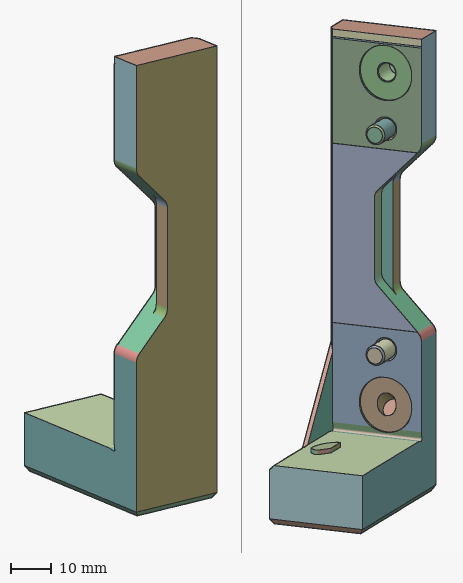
import cadquery as cq
import math

length = 45.0
width = 24.8
height = 116.6
wall_thickness = 9.0
base_height = 15.0
wall_face_x = length - wall_thickness

foot_chamfer_rise = 1.4
foot_chamfer_inset = 0.9
side_chamfer = 1.2
wall_chamfer_run = 1.7

window_middle_z = 65.0
window_half_height = 23.8
front_layer_depth = 12.6
back_layer_depth = 9.6
window_radius = 3.0

face_relief_depth = 0.1
face_relief_half_height = 22.7
top_relief_height = 1.9
top_relief_ramp = 0.3

undercut_depth = 0.41
undercut_reach = 1.9
undercut_radius = 0.52

gusset_foot_x = 19.8
gusset_top_z = 37.1

marker_height = 1.2

feature_y = 9.6
hole_offset = 42.1
pin_offset = 28.0
spotface_diameter = 14.0
spotface_depth = 0.7
upper_hole_diameter = 4.5
upper_hole_mouth_diameter = 5.0
upper_hole_depth = 7.0
lower_hole_diameter = 5.0
lower_hole_tilt = 30.0
lower_hole_depth = 4.3

pin_diameter = 5.0
pin_tip_chamfer = 0.5
pin_protrusion = 6.6
pin_seat_depth = 5.8
pin_seat_mouth_diameter = 6.0


def box(x_range, y_range, z_range):
    """Axis-aligned box between the given pairs of limits."""
    (x0, x1), (y0, y1), (z0, z1) = x_range, y_range, z_range
    return cq.Workplane("XY").box(x1 - x0, y1 - y0, z1 - z0, centered=False).translate((x0, y0, z0))


def prism_along_y(points, y_start, y_end):
    """Prism of an XZ outline between two Y positions."""
    return cq.Workplane("XZ", origin=(0, y_start, 0)).polyline(points).close().extrude(y_start - y_end)


def disc_along_x(diameter, x_start, depth, y, z):
    """Cylinder that starts at x_start and runs toward +X."""
    return cq.Workplane("YZ", origin=(x_start, y, z)).circle(diameter / 2).extrude(depth)


def mouth_cone(mouth_diameter, hole_diameter, x_start, y, z):
    """45 degree countersink that narrows toward +X."""
    depth = (mouth_diameter - hole_diameter) / 2
    cone = cq.Solid.makeCone(
        mouth_diameter / 2, hole_diameter / 2, depth,
        pnt=cq.Vector(x_start, y, z), dir=cq.Vector(1, 0, 0),
    )
    return cq.Workplane(cone)


def angle_block():
    """L-shaped body with a chamfered foot and chamfered +Y inner edges."""
    base = box((0, length), (0, width), (0, base_height))
    base = base.faces("<Z").chamfer(foot_chamfer_rise, foot_chamfer_inset)
    wall = box((wall_face_x, length), (0, width), (base_height / 2, height))
    base_edge = (
        cq.Workplane("YZ")
        .polyline([
            (width, base_height),
            (width - side_chamfer, base_height),
            (width, base_height - side_chamfer),
        ])
        .close()
        .extrude(wall_face_x)
    )
    wall_edge = (
        cq.Workplane("XY", origin=(0, 0, base_height))
        .polyline([
            (wall_face_x, width),
            (wall_face_x, width - side_chamfer),
            (wall_face_x + wall_chamfer_run, width),
        ])
        .close()
        .extrude(height - base_height)
    )
    return base.cut(base_edge).union(wall.cut(wall_edge))


def window_layer(depth, x_start, x_end):
    """Trapezoidal side cut with 45 degree ends and rounded inner corners."""
    half_inner = window_half_height - depth
    cutter = (
        cq.Workplane("YZ", origin=(x_start, 0, window_middle_z))
        .polyline([
            (0, -window_half_height),
            (depth, -half_inner),
            (depth, half_inner),
            (0, window_half_height),
        ])
        .close()
        .extrude(x_end - x_start)
    )
    return cutter.edges("|X and >Y").fillet(window_radius)


def cut_window(body):
    """Stepped side window, with its two outer corners rounded."""
    layer_x = wall_face_x + wall_thickness / 2
    corner_reach = 1.2
    body = body.cut(window_layer(front_layer_depth, wall_face_x, layer_x))
    body = body.cut(window_layer(back_layer_depth, layer_x, length))
    for side in (-1, 1):
        corner_z = window_middle_z + side * window_half_height
        corner_edges = cq.selectors.BoxSelector(
            (wall_face_x, -corner_reach, corner_z - corner_reach),
            (length, corner_reach, corner_z + corner_reach),
        )
        body = body.edges("|X").edges(corner_edges).fillet(window_radius)
    return body


def corner_undercut():
    """Sloped relief groove with a rounded bottom where wall and base meet."""
    groove = prism_along_y(
        [
            (wall_face_x - undercut_reach, base_height),
            (wall_face_x + undercut_depth, base_height - undercut_depth),
            (wall_face_x, base_height + undercut_reach),
        ],
        0, width,
    )
    return groove.edges("|Y and >X").fillet(undercut_radius)


def face_relief():
    """Shallow cuts between the two pads and above the upper pad."""
    floor_x = wall_face_x + face_relief_depth
    middle = box(
        (wall_face_x, floor_x), (0, width),
        (window_middle_z - face_relief_half_height, window_middle_z + face_relief_half_height),
    )
    strip_z = height - top_relief_height
    top = prism_along_y(
        [
            (wall_face_x, strip_z - top_relief_ramp),
            (floor_x, strip_z),
            (floor_x, height),
            (wall_face_x, height),
        ],
        0, width,
    )
    return middle.union(top)


def gusset():
    """Thin triangular web that fills the chamfered strip on the +Y side."""
    foot_z = base_height - side_chamfer
    top_x = wall_face_x + wall_chamfer_run
    return prism_along_y(
        [(gusset_foot_x, foot_z), (top_x, foot_z), (top_x, gusset_top_z)],
        width - side_chamfer, width,
    )


def marker_pad():
    """Leaf-shaped raised pad on top of the base."""
    straight_side_y = 15.5
    blunt_end_x = 22.0
    return (
        cq.Workplane("XY", origin=(0, 0, base_height))
        .moveTo(blunt_end_x, straight_side_y)
        .lineTo(blunt_end_x, 16.3)
        .threePointArc((18.9, 19.1), (14.5, 20.0))
        .lineTo(13.5, 18.9)
        .threePointArc((13.3, 18.2), (13.8, 17.5))
        .lineTo(16.0, 15.7)
        .threePointArc((16.2, 15.6), (16.7, straight_side_y))
        .close()
        .extrude(marker_height)
    )


def upper_hole(z):
    """Spotfaced blind hole square to the wall, with a countersunk mouth."""
    floor_x = wall_face_x + spotface_depth
    spotface = disc_along_x(spotface_diameter, wall_face_x, spotface_depth, feature_y, z)
    bore = disc_along_x(upper_hole_diameter, floor_x, upper_hole_depth, feature_y, z)
    mouth = mouth_cone(upper_hole_mouth_diameter, upper_hole_diameter, floor_x, feature_y, z)
    return spotface.union(bore).union(mouth)


def lower_hole(z):
    """Spotfaced blind hole that slopes downward into the wall."""
    floor_x = wall_face_x + spotface_depth
    spotface = disc_along_x(spotface_diameter, wall_face_x, spotface_depth, feature_y, z)
    tilt = math.radians(lower_hole_tilt)
    axis = cq.Vector(math.cos(tilt), 0, -math.sin(tilt))
    lead_in = lower_hole_diameter
    start = cq.Vector(floor_x, feature_y, z) - axis * lead_in
    bore = cq.Solid.makeCylinder(lower_hole_diameter / 2, lead_in + lower_hole_depth, start, axis)
    return spotface.union(cq.Workplane(bore))


def pin_seat(z):
    """Blind pin hole with a countersunk mouth."""
    seat = disc_along_x(pin_diameter, wall_face_x, pin_seat_depth, feature_y, z)
    return seat.union(mouth_cone(pin_seat_mouth_diameter, pin_diameter, wall_face_x, feature_y, z))


def make_pin(z):
    """Locating pin with a chamfered tip, seated at the bottom of its hole."""
    pin = disc_along_x(
        pin_diameter, wall_face_x - pin_protrusion, pin_protrusion + pin_seat_depth, feature_y, z
    )
    return pin.faces("<X").chamfer(pin_tip_chamfer)


pin_heights = [window_middle_z - pin_offset, window_middle_z + pin_offset]


def make_bracket():
    """Bracket with window, web, marker pad, holes and pin seats."""
    body = cut_window(angle_block())
    body = body.cut(face_relief()).cut(corner_undercut())
    body = body.union(gusset()).union(marker_pad())
    body = body.cut(upper_hole(window_middle_z + hole_offset))
    body = body.cut(lower_hole(window_middle_z - hole_offset))
    for z in pin_heights:
        body = body.cut(pin_seat(z))
    return body


bracket = make_bracket()
pins = [make_pin(z).val() for z in pin_heights]

result = cq.Compound.makeCompound([*bracket.vals(), *pins])